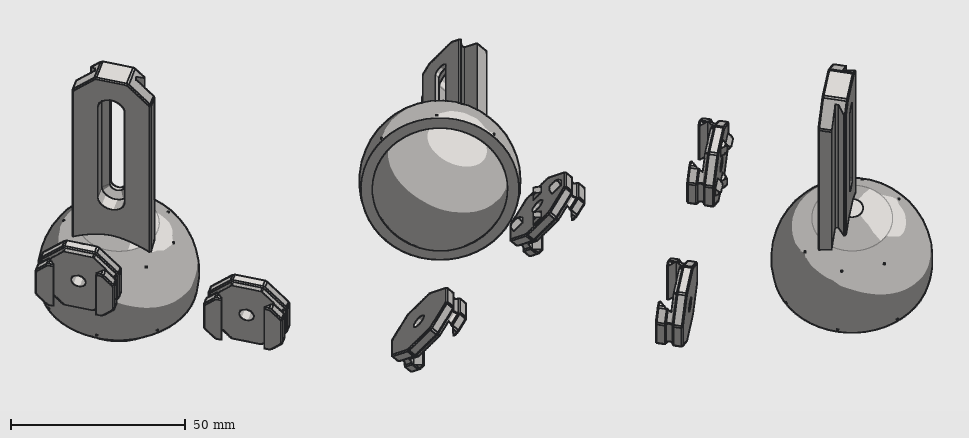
import cadquery as cq
import math


BALL_RADIUS = 20.0
SOCKET_RADIUS = 23.15
SOCKET_RIM_Z = -5.0
CONE_SLOPE = math.radians(30)
CONE_TOP_RADIUS = 3.2

PINHOLE_DIAMETER = 0.5
PINHOLE_OVERRUN = 1.0
UPPER_RING_LATITUDE = 45
UPPER_RING_LONGITUDES = (0, 45, 135, 180, 225, 315)
LOWER_RING_LATITUDE = -9
LOWER_RING_LONGITUDES = range(0, 360, 45)

HALF_WIDTH = 11.75
DIAGONAL_REACH = HALF_WIDTH * math.sqrt(2)
EDGE_CHAMFER = 0.4
SLAB_THICKNESS = 4.0

ARM_BACK_Y = -0.25
ARM_TOP_Z = 84.78
DOVETAIL_HEIGHT = 3.5
DOVETAIL_HALF_WIDTH = 8.0
DOVETAIL_LIP = 0.65
NECK_HALF_WIDTH = 6.1
ARM_THICKNESS = SLAB_THICKNESS + DOVETAIL_HEIGHT
ARM_FRONT_Y = ARM_BACK_Y - ARM_THICKNESS

PLATE_Z = 36.8

SCREW_DIAMETER = 4.3
SCREW_HEAD_DIAMETER = 8.0
HEAD_POCKET_DEPTH = 4.3
SLOT_TOP_Z = 73.0
SLOT_BOTTOM_Z = PLATE_Z

PLATE_THICKNESS = 8.0
PLATE_FRONT_Y = -45.9
PLATE_SPACING = 50.0
GROOVE_RADIUS = 1.0
JAW_HALF_LENGTH = 8.4
CHANNEL_HALF_WIDTH = 8.25
CHANNEL_MOUTH_HALF_WIDTH = 6.35
CHANNEL_FLANK_START = 5.6
CHANNEL_FLANK_END = CHANNEL_FLANK_START + CHANNEL_HALF_WIDTH - CHANNEL_MOUTH_HALF_WIDTH

TOOTH_RADIUS = 8.1
TOOTH_LENGTH = 3.8
TOOTH_HEIGHT = 1.65
TOOTH_END_CHAMFER = 0.6


def extrude_outline(outline, back_y, thickness):
    """Extrude an XZ outline toward -Y from the plane y = back_y."""
    return cq.Workplane("XZ", origin=(0, back_y, 0)).polyline(outline).close().extrude(thickness)


def clipped_octagon(half_height):
    """Points of the octagon, cut off at z = +/-half_height."""
    corner = [(HALF_WIDTH, DIAGONAL_REACH - HALF_WIDTH), (DIAGONAL_REACH - half_height, half_height)]
    upper = corner + [(-x, z) for x, z in reversed(corner)]
    return upper + [(-x, -z) for x, z in upper]


def make_ball():
    return cq.Workplane("XY").sphere(BALL_RADIUS)



def make_socket_blank():
    """Solid of revolution: sphere with a flat rim below and a tangent cone roof on top."""
    rim_radius = math.sqrt(SOCKET_RADIUS**2 - SOCKET_RIM_Z**2)
    tangent_radius = SOCKET_RADIUS * math.sin(CONE_SLOPE)
    tangent_z = SOCKET_RADIUS * math.cos(CONE_SLOPE)
    top_z = tangent_z + (tangent_radius - CONE_TOP_RADIUS) * math.tan(CONE_SLOPE)
    return (
        cq.Workplane("XZ")
        .moveTo(0, SOCKET_RIM_Z)
        .lineTo(rim_radius, SOCKET_RIM_Z)
        .threePointArc((SOCKET_RADIUS, 0), (tangent_radius, tangent_z))
        .lineTo(CONE_TOP_RADIUS, top_z)
        .lineTo(0, top_z)
        .close()
        .revolve(360, (0, 0, 0), (0, 1, 0))
    )


def make_pinhole(latitude, longitude):
    """Radial pin-sized cutter passing right through the socket wall."""
    lat = math.radians(latitude)
    lon = math.radians(longitude)
    direction = cq.Vector(
        math.cos(lat) * math.cos(lon),
        math.cos(lat) * math.sin(lon),
        math.sin(lat),
    )
    start = direction * (BALL_RADIUS - PINHOLE_OVERRUN)
    length = SOCKET_RADIUS - BALL_RADIUS + 2 * PINHOLE_OVERRUN
    return cq.Solid.makeCylinder(PINHOLE_DIAMETER / 2, length, start, direction)


def make_arm_blank():
    """Prism with the front outline of the arm: octagon corners on top, chamfered edges."""
    shoulder_z = ARM_TOP_Z - (2 * HALF_WIDTH - DIAGONAL_REACH)
    top_half = DIAGONAL_REACH - HALF_WIDTH
    outline = [
        (-HALF_WIDTH, 0),
        (HALF_WIDTH, 0),
        (HALF_WIDTH, shoulder_z),
        (top_half, ARM_TOP_Z),
        (-top_half, ARM_TOP_Z),
        (-HALF_WIDTH, shoulder_z),
    ]
    blank = extrude_outline(outline, ARM_BACK_Y, ARM_THICKNESS)
    blank = blank.edges("|Y").edges("not <Z").chamfer(EDGE_CHAMFER)
    return blank.faces("<Y or >Y").chamfer(EDGE_CHAMFER)


def make_arm_section():
    """T-shaped arm section, swept along Z: slab in front, dovetail behind."""
    flank_end = DOVETAIL_LIP + DOVETAIL_HALF_WIDTH - NECK_HALF_WIDTH
    half = [
        (DOVETAIL_HALF_WIDTH - EDGE_CHAMFER, 0),
        (DOVETAIL_HALF_WIDTH, EDGE_CHAMFER),
        (DOVETAIL_HALF_WIDTH, DOVETAIL_LIP),
        (NECK_HALF_WIDTH, flank_end),
        (NECK_HALF_WIDTH, DOVETAIL_HEIGHT),
        (HALF_WIDTH, DOVETAIL_HEIGHT),
        (HALF_WIDTH, ARM_THICKNESS),
    ]
    right = [(x, ARM_BACK_Y - depth) for x, depth in half]
    left = [(-x, y) for x, y in reversed(right)]
    return cq.Workplane("XY").polyline(right + left).close().extrude(ARM_TOP_Z)


def make_screw_slot():
    """Wide head pocket from the front, 45 degree flanks, then the shank slot."""
    length = SLOT_TOP_Z - SLOT_BOTTOM_Z
    middle_z = (SLOT_TOP_Z + SLOT_BOTTOM_Z) / 2
    flank_depth = (SCREW_HEAD_DIAMETER - SCREW_DIAMETER) / 2
    front = cq.Workplane("XZ", origin=(0, ARM_FRONT_Y, middle_z))
    shank = front.slot2D(length + SCREW_DIAMETER, SCREW_DIAMETER, 90).extrude(-ARM_THICKNESS)
    head = (
        front.slot2D(length + SCREW_HEAD_DIAMETER, SCREW_HEAD_DIAMETER, 90)
        .extrude(-(HEAD_POCKET_DEPTH + flank_depth))
        .faces(">Y")
        .chamfer(flank_depth)
    )
    return shank.union(head)


def make_socket():
    arm = make_arm_blank().intersect(make_arm_section()).cut(make_screw_slot())
    socket = make_socket_blank().union(arm).cut(make_ball())
    for longitude in UPPER_RING_LONGITUDES:
        socket = socket.cut(cq.Workplane(make_pinhole(UPPER_RING_LATITUDE, longitude)))
    for longitude in LOWER_RING_LONGITUDES:
        socket = socket.cut(cq.Workplane(make_pinhole(LOWER_RING_LATITUDE, longitude)))
    return socket



def cut_edge_groove(body, face):
    """Cut the round groove with its chamfered lips along every edge of a flat face."""
    lip_half_width = math.sqrt(GROOVE_RADIUS**2 - EDGE_CHAMFER**2)
    mouth_half_width = lip_half_width + EDGE_CHAMFER
    for edge in body.faces(face).edges().vals():
        middle = edge.positionAt(0.5)
        along = edge.tangentAt(0.5)
        outward = along.cross(cq.Vector(0, 1, 0))
        if outward.dot(middle) < 0:
            outward = -outward
        groove = (
            cq.Workplane(cq.Plane(middle, outward, along))
            .moveTo(-EDGE_CHAMFER, lip_half_width)
            .threePointArc((-GROOVE_RADIUS, 0), (-EDGE_CHAMFER, -lip_half_width))
            .lineTo(0, -mouth_half_width)
            .lineTo(GROOVE_RADIUS, -mouth_half_width)
            .lineTo(GROOVE_RADIUS, mouth_half_width)
            .lineTo(0, mouth_half_width)
            .close()
            .extrude(HALF_WIDTH, both=True)
        )
        body = body.cut(groove)
    return body


def make_plate_slab():
    """Octagonal slab with the back half of the belt groove along its front edge."""
    body = extrude_outline(clipped_octagon(HALF_WIDTH), 0, SLAB_THICKNESS)
    body = body.edges("|Y").chamfer(EDGE_CHAMFER)
    body = body.faces(">Y").chamfer(EDGE_CHAMFER)
    return cut_edge_groove(body, "<Y")


def make_jaws():
    """Two jaws: a shortened octagon with the front half of the groove, split by the channel."""
    jaw_thickness = PLATE_THICKNESS - SLAB_THICKNESS
    body = extrude_outline(clipped_octagon(JAW_HALF_LENGTH), -SLAB_THICKNESS, jaw_thickness)
    body = body.edges("|Y").chamfer(EDGE_CHAMFER)
    body = body.faces("<Y").chamfer(EDGE_CHAMFER)
    body = cut_edge_groove(body, ">Y")
    half = [
        (CHANNEL_HALF_WIDTH, -SLAB_THICKNESS),
        (CHANNEL_HALF_WIDTH, -CHANNEL_FLANK_START),
        (CHANNEL_MOUTH_HALF_WIDTH, -CHANNEL_FLANK_END),
        (CHANNEL_MOUTH_HALF_WIDTH, -PLATE_THICKNESS),
    ]
    outline = half + [(-x, y) for x, y in reversed(half)]
    channel = cq.Workplane("XY").polyline(outline).close().extrude(HALF_WIDTH, both=True)
    return body.cut(channel)


def make_plate():
    screw_hole = cq.Workplane("XZ").circle(SCREW_DIAMETER / 2).extrude(SLAB_THICKNESS)
    return make_plate_slab().union(make_jaws()).cut(screw_hole)


def make_tooth():
    """Radial roof-shaped tooth on the +Z side of the back face, its two ends chamfered."""
    half_length = TOOTH_LENGTH / 2
    wall_height = TOOTH_HEIGHT - TOOTH_END_CHAMFER
    ridge = (
        cq.Workplane("XY", origin=(0, 0, TOOTH_RADIUS))
        .polyline([(-TOOTH_HEIGHT, 0), (TOOTH_HEIGHT, 0), (0, TOOTH_HEIGHT)])
        .close()
        .extrude(half_length, both=True)
    )
    profile = (
        cq.Workplane("YZ", origin=(0, 0, TOOTH_RADIUS))
        .polyline([
            (0, -half_length),
            (wall_height, -half_length),
            (TOOTH_HEIGHT, TOOTH_END_CHAMFER - half_length),
            (TOOTH_HEIGHT, half_length - TOOTH_END_CHAMFER),
            (wall_height, half_length),
            (0, half_length),
        ])
        .close()
        .extrude(TOOTH_HEIGHT, both=True)
    )
    return ridge.intersect(profile)


def make_toothed_plate():
    plate = make_plate()
    for angle in range(0, 360, 90):
        plate = plate.union(make_tooth().rotate((0, 0, 0), (0, 1, 0), angle))
    return plate


plate_back_y = PLATE_FRONT_Y + PLATE_THICKNESS

ball = make_ball()
socket = make_socket()
toothed_plate = make_toothed_plate().translate((0, plate_back_y, PLATE_Z))
plain_plate = make_plate().translate((PLATE_SPACING, plate_back_y, PLATE_Z))

result = cq.Compound.makeCompound([
    ball.val(),
    socket.val(),
    toothed_plate.val(),
    plain_plate.val(),
])